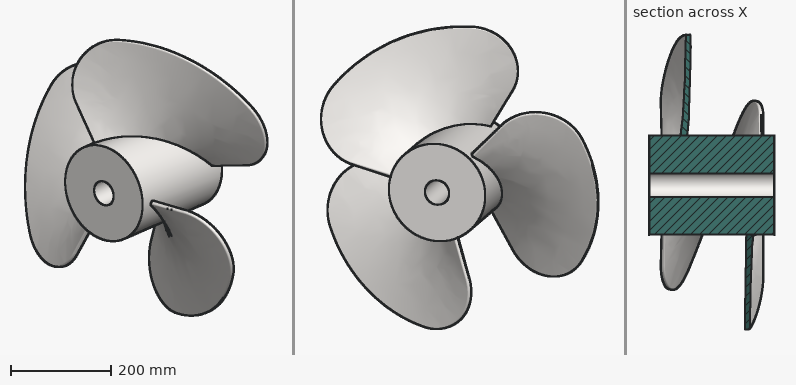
import cadquery as cq
import math

hub_diameter = 200.0
hub_length = 250.0
bore_diameter = 50.0

blade_count = 3
blade_radius = 300.0
blade_thickness = 10.0
blade_span = 107.5
first_blade_angle = 186.7
helix_pitch = 664
corner_radius = 91.5
rim_fillet = 3.0

root_depth = 24
root_radius = hub_diameter / 2 - root_depth

radial_margin = 30
angular_margin = 15
helicoid_radius = blade_radius + radial_margin
helicoid_span = blade_span + 2 * angular_margin

origin = cq.Vector(0, 0, 0)
x_axis = cq.Vector(1, 0, 0)
y_axis = cq.Vector(0, 1, 0)
z_axis = cq.Vector(0, 0, 1)


def make_cylinder(diameter):
    """A cylinder along the Y axis, as long as the hub and centred on the origin."""
    end_plane = cq.Workplane("XZ", origin=(0, hub_length / 2, 0))
    return end_plane.circle(diameter / 2).extrude(hub_length).val()


def polar(radius, angle):
    """The X and Z of a point at an angle in degrees from +X towards +Z."""
    radians = math.radians(angle)
    return (radius * math.cos(radians), radius * math.sin(radians))


def make_hub():
    """The hub with its through bore."""
    return make_cylinder(hub_diameter).cut(make_cylinder(bore_diameter))


def make_helicoid():
    """The back face of the blade: a right-handed helicoid around the Y axis, centred on +X."""
    height = helix_pitch * helicoid_span / 360
    inner_helix = cq.Wire.makeHelix(helix_pitch, height, root_radius)
    outer_helix = cq.Wire.makeHelix(helix_pitch, height, helicoid_radius)
    surface = cq.Face.makeRuledSurface(inner_helix, outer_helix)
    surface = surface.translate(cq.Vector(0, 0, (blade_thickness - height) / 2))
    surface = surface.rotate(origin, z_axis, -helicoid_span / 2)
    return surface.rotate(origin, x_axis, -90)


def make_outline_prism():
    """The blade outline extended along Y: a ring sector around +X with rounded outer corners."""
    half_span = blade_span / 2
    return (
        cq.Workplane("XZ")
        .moveTo(*polar(root_radius, -half_span))
        .lineTo(*polar(blade_radius, -half_span))
        .threePointArc(polar(blade_radius, 0), polar(blade_radius, half_span))
        .lineTo(*polar(root_radius, half_span))
        .threePointArc(polar(root_radius, 0), polar(root_radius, -half_span))
        .close()
        .extrude(hub_length, both=True)
        .edges("<Z or >Z")
        .edges("|Y")
        .fillet(corner_radius)
        .val()
    )


def round_rim(plate):
    """Fillet both edges of the rim, leaving the root face inside the hub sharp."""
    faces_by_area = sorted(plate.Faces(), key=lambda face: face.Area())
    front_and_back = faces_by_area[-2:]
    root_face = min(plate.Faces(), key=lambda face: face.Center().x)
    root_edges = root_face.Edges()
    rim_edges = [
        edge
        for face in front_and_back
        for edge in face.Edges()
        if not any(edge.isSame(root_edge) for root_edge in root_edges)
    ]
    return plate.fillet(rim_fillet, rim_edges)


def make_blade():
    """One blade of even thickness around +X, its root fitted to the hub surface."""
    surface = make_helicoid().intersect(make_outline_prism()).Faces()[0]
    plate = surface.thicken(blade_thickness)
    return round_rim(plate).cut(make_cylinder(hub_diameter)).Solids()[0]


hub = make_hub().Solids()[0]

blade = make_blade()
blade_step = 360 / blade_count
blades = [
    blade.rotate(origin, y_axis, -(first_blade_angle + index * blade_step))
    for index in range(blade_count)
]

result = cq.Compound.makeCompound([hub, *blades])